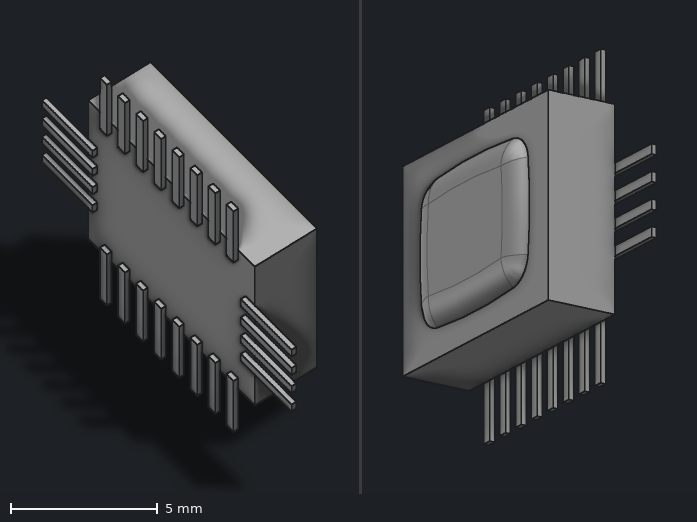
import cadquery as cq
import math

span_x = 13.8
span_z = 12.1
total_depth = 3.35

body_width = 9.2
body_depth = 2.7
body_height = 7.62
body_center_z = -0.04

lead_length = 2.8
lead_width = 0.39
lead_thickness = 0.21
leads_per_long_side = 8
leads_per_short_side = 4
long_row_length = 7.0
lead_pitch = long_row_length / (leads_per_long_side - 1)

dome_rise = total_depth - lead_thickness - body_depth
dome_embed = 1.65
corner_center_x = 2.28
corner_center_z = 1.65
rim_radius = 1.45
top_corner_radius = 0.01
corner_radius = rim_radius + top_corner_radius
side_tilt = math.radians(6.0)


def row_offsets(count):
    """Centred positions of a row of leads."""
    return [(i - (count - 1) / 2) * lead_pitch for i in range(count)]


def make_lead(x, z, size_x, size_z):
    """One straight lead whose back touches the body's front face."""
    return cq.Workplane("XY").box(size_x, lead_thickness, size_z).translate((x, -lead_thickness / 2, z))


def make_leads():
    """Leads on all four sides, each row reaching the overall envelope."""
    tip_row_x = (span_x - lead_length) / 2
    tip_row_z = (span_z - lead_length) / 2
    leads = []
    for side in (-1, 1):
        for x in row_offsets(leads_per_long_side):
            leads.append(make_lead(x, side * tip_row_z, lead_width, lead_length))
        for z in row_offsets(leads_per_short_side):
            leads.append(make_lead(side * tip_row_x, body_center_z + z, lead_length, lead_width))
    return leads


def make_body():
    return (
        cq.Workplane("XY")
        .box(body_width, body_depth, body_height)
        .translate((0, body_depth / 2, body_center_z))
    )


def corner_point(angle):
    """Point on the corner arc in the +X +Z quadrant, angle measured from +X."""
    return (
        corner_center_x + corner_radius * math.cos(angle),
        corner_center_z + corner_radius * math.sin(angle),
    )


def make_dome():
    """Cover whose lower part is sunk in the body, so only the rounded rim and flat top stand out."""
    x_side, z_side = corner_point(side_tilt)
    x_end, z_end = corner_point(math.pi / 2 - side_tilt)
    x_mid, z_mid = corner_point(math.pi / 4)
    x_max = corner_center_x + corner_radius + corner_center_z * math.tan(side_tilt / 2)
    z_max = corner_center_z + corner_radius + corner_center_x * math.tan(side_tilt / 2)
    outline = (
        cq.Workplane("XY")
        .moveTo(x_side, -z_side)
        .threePointArc((x_max, 0), (x_side, z_side))
        .threePointArc((x_mid, z_mid), (x_end, z_end))
        .threePointArc((0, z_max), (-x_end, z_end))
        .threePointArc((-x_mid, z_mid), (-x_side, z_side))
        .threePointArc((-x_max, 0), (-x_side, -z_side))
        .threePointArc((-x_mid, -z_mid), (-x_end, -z_end))
        .threePointArc((0, -z_max), (x_end, -z_end))
        .threePointArc((x_mid, -z_mid), (x_side, -z_side))
        .close()
    )
    dome_depth = dome_rise + dome_embed
    dome = outline.extrude(dome_depth).faces(">Z").edges().fillet(rim_radius)
    return dome.rotate((0, 0, 0), (1, 0, 0), -90).translate((0, body_depth - dome_embed, body_center_z))


result = make_body().union(make_dome())
for lead in make_leads():
    result = result.union(lead)